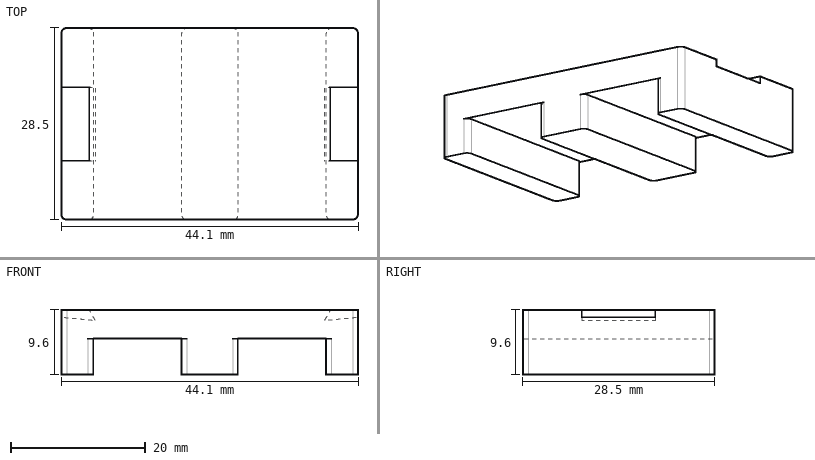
import cadquery as cq

length = 44.1
width = 28.5
height = 9.6
corner_radius = 0.8

leg_height = 5.35
outer_leg_width = 4.75
center_leg_width = 8.4
leg_edge_radius = corner_radius

notch_length = 4.15
notch_width = 10.95
notch_mouth_depth = 1.05
notch_back_depth = 1.55
notch_undercut = 0.9

plate_thickness = height - leg_height
outer_leg_offset = (length - outer_leg_width) / 2


def make_plate():
    """Top plate with rounded vertical corners, resting on the legs."""
    plate = cq.Workplane("XY").box(length, width, plate_thickness, centered=(True, True, False))
    return plate.edges("|Z").fillet(corner_radius).translate((0, 0, leg_height))


def make_leg(leg_width, x_center):
    """Full-width leg with all four vertical edges rounded."""
    leg = cq.Workplane("XY").box(leg_width, width, leg_height, centered=(True, True, False))
    return leg.edges("|Z").fillet(leg_edge_radius).translate((x_center, 0, 0))


def make_notch(side):
    """Cutter for the notch at the -X (side = -1) or +X (side = 1) end."""
    end_x = side * length / 2
    back_top_x = side * (length / 2 - notch_length)
    back_floor_x = back_top_x - side * notch_undercut
    profile = [
        (end_x, height),
        (back_top_x, height),
        (back_floor_x, height - notch_back_depth),
        (end_x, height - notch_mouth_depth),
    ]
    return cq.Workplane("XZ").polyline(profile).close().extrude(notch_width / 2, both=True)


result = make_plate().union(make_leg(center_leg_width, 0))
for side in (-1, 1):
    result = result.union(make_leg(outer_leg_width, side * outer_leg_offset))
    result = result.cut(make_notch(side))